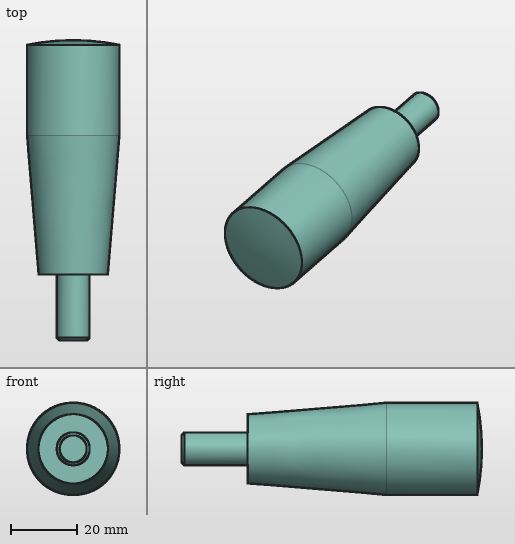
import cadquery as cq

total_length = 91.0
pin_length = 20.0
pin_diameter = 10.0
pin_chamfer = 0.9
grip_diameter = 28.0
narrow_diameter = 21.0
taper_length = 42.0
dome_height = 1.5

grip_length = total_length - pin_length
dome_base = grip_length - dome_height
grip_radius = grip_diameter / 2
narrow_radius = narrow_diameter / 2

dome_radius = (grip_radius**2 + dome_height**2) / (2 * dome_height)
dome_centre = grip_length - dome_radius
arc_mid_x = grip_radius / 2
arc_mid_y = dome_centre + (dome_radius**2 - arc_mid_x**2) ** 0.5


def make_grip():
    """Tapered and cylindrical grip with a domed end."""
    half_profile = (
        cq.Workplane("XY")
        .moveTo(0, 0)
        .lineTo(narrow_radius, 0)
        .lineTo(grip_radius, taper_length)
        .lineTo(grip_radius, dome_base)
        .threePointArc((arc_mid_x, arc_mid_y), (0, grip_length))
        .close()
    )
    return half_profile.revolve(360, (0, 0, 0), (0, 1, 0))


def make_pin():
    """Pin projecting toward -Y with a chamfered tip."""
    pin = cq.Workplane("XZ").circle(pin_diameter / 2).extrude(pin_length)
    return pin.faces("<Y").chamfer(pin_chamfer)


result = make_grip().union(make_pin())